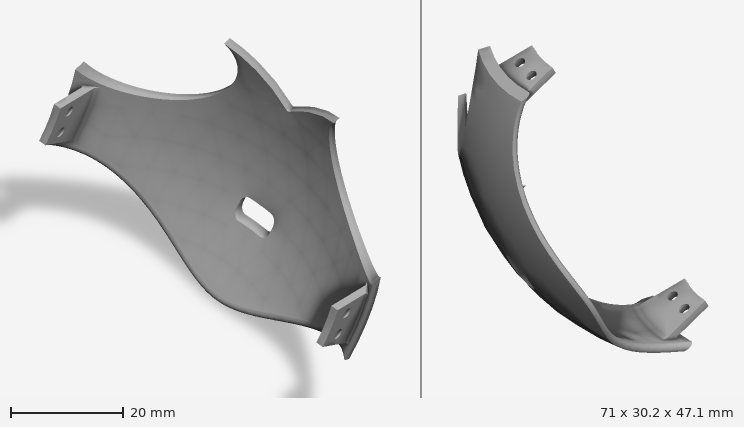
import cadquery as cq
import math

outer_radius = 47.8
wall = 1.5
inner_radius = outer_radius - wall
half_width = 35.5

scallop_x = 24.0
scallop_radius = 13.05
horn_top = 7.25
notch_bottom = -4.0
notch_mid_x = 6.4
notch_mid_z = 2.0
notch_round = 0.5
side_bottom = -22.3
chin_x = 0.9
chin_bottom = -39.9
shoulder_x = 14.9
left_shoulder_z = -34.8
right_shoulder_z = -35.6
rim_round = 0.9
rim_allowance = 1.1

slot_width = 8.0
slot_height = 4.05
slot_z = -27.1
slot_round = 1.5

tab_thickness = 1.5
tab_x = 33.15
tab_inner_radius = 22.85
tab_start_angle = 19.3
tab_end_angle = 39.8
tab_base_flare = 0.4
tab_base_height = 0.6
tab_hole_diameter = 2.05
tab_hole_ring_radius = 26.35
tab_hole_spacing_angle = 10.0

FAR = 2 * outer_radius


def scallop_point(side, angle):
    """Point on a side scallop; zero degrees faces outwards."""
    turn = math.radians(angle)
    x = scallop_x + scallop_radius * math.cos(turn)
    return side * x, scallop_radius * math.sin(turn)


def make_shell():
    """Trimmed spherical wall with a rounded inner edge along its lower rim."""
    horn_angle = 180 - math.degrees(math.asin(horn_top / scallop_radius))
    corner_angle = 360 - math.degrees(math.acos((half_width - scallop_x) / scallop_radius))
    mid_angle = (horn_angle + corner_angle) / 2
    outline = (
        cq.Workplane("XZ")
        .moveTo(-half_width, side_bottom)
        .spline(
            [
                (-shoulder_x, left_shoulder_z),
                (chin_x, chin_bottom),
                (shoulder_x, right_shoulder_z),
                (half_width, side_bottom),
            ],
            includeCurrent=True,
        )
        .lineTo(*scallop_point(1, corner_angle))
        .threePointArc(scallop_point(1, mid_angle), scallop_point(1, horn_angle))
        .threePointArc((notch_mid_x, notch_mid_z), (0, notch_bottom))
        .threePointArc((-notch_mid_x, notch_mid_z), scallop_point(-1, horn_angle))
        .threePointArc(scallop_point(-1, mid_angle), scallop_point(-1, corner_angle))
        .close()
        .extrude(-FAR)
    )
    notch_edge = cq.selectors.BoxSelector((-0.7, 0, notch_bottom - 0.7), (0.7, FAR, notch_bottom + 0.7))
    outline = outline.edges("|Y").edges(notch_edge).fillet(notch_round)
    oversize_sphere = cq.Workplane("XY").sphere(outer_radius + rim_allowance)
    shell = outline.intersect(oversize_sphere).cut(cq.Workplane("XY").sphere(inner_radius))
    inner_face = shell.faces("%SPHERE").faces("<Y")
    rounded = inner_face.edges("<Z").fillet(rim_round)
    return rounded.intersect(cq.Workplane("XY").sphere(outer_radius))


def make_slot():
    return (
        cq.Workplane("XZ")
        .center(0, slot_z)
        .rect(slot_width, slot_height)
        .extrude(-FAR)
        .edges("|Y")
        .fillet(slot_round)
    )


def inner_face_distance(x):
    """Distance from the X axis to the inner shell face at a given x."""
    return math.sqrt(inner_radius**2 - x**2)


def make_tab(side):
    """Sector plate with a flared base, ending inside the shell wall."""
    near_x = tab_x - tab_thickness / 2
    far_x = tab_x + tab_thickness / 2
    near_foot_x = near_x - tab_base_flare
    far_foot_x = far_x + tab_base_flare
    root_distance = inner_face_distance(near_foot_x) + wall
    profile = [
        (near_x, tab_inner_radius),
        (near_x, inner_face_distance(near_x) - tab_base_height),
        (near_foot_x, inner_face_distance(near_foot_x)),
        (near_foot_x, root_distance),
        (far_foot_x, root_distance),
        (far_foot_x, inner_face_distance(far_foot_x)),
        (far_x, inner_face_distance(far_x) - tab_base_height),
        (far_x, tab_inner_radius),
    ]
    sector = (
        cq.Workplane("XY")
        .polyline([(side * x, y) for x, y in profile])
        .close()
        .revolve(tab_end_angle - tab_start_angle, (0, 0), (-1, 0))
        .rotate((0, 0, 0), (1, 0, 0), -tab_start_angle)
    )
    return sector.intersect(cq.Workplane("XY").sphere(inner_radius + wall / 2))


def make_tab_holes():
    middle_angle = (tab_start_angle + tab_end_angle) / 2
    centres = []
    for sign in (-1, 1):
        angle = math.radians(middle_angle + sign * tab_hole_spacing_angle / 2)
        centres.append((tab_hole_ring_radius * math.cos(angle), -tab_hole_ring_radius * math.sin(angle)))
    return (
        cq.Workplane("YZ")
        .pushPoints(centres)
        .circle(tab_hole_diameter / 2)
        .extrude(half_width, both=True)
    )


result = make_shell().cut(make_slot())
for tab_side in (-1, 1):
    result = result.union(make_tab(tab_side))
result = result.cut(make_tab_holes())